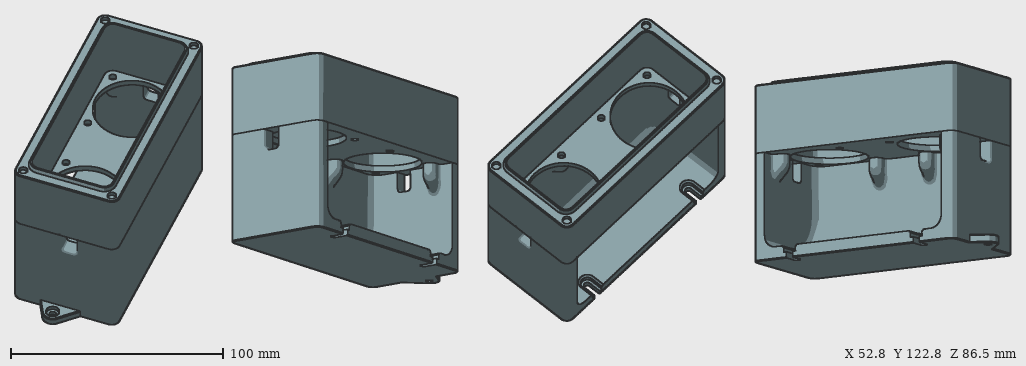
import cadquery as cq
import math

overall_length = 122.8
width = 52.8
length = 112.8
corner_radius = 4.0
edge_chamfer = 0.5
split_height = 52.0
shoulder_height = 84.7

lip_height = 1.8
lip_width = 43.8
lip_length = 103.8
lip_corner_radius = 5.9
lip_slope_inset = 0.9
lip_land = 0.8
lip_inset = lip_slope_inset + lip_land
top_height = shoulder_height + lip_height

upper_floor = 3.0
speaker_hole_diameter = 37.0
speaker_spacing = 59.9
screw_square = 32.0
screw_hole_diameter = 3.4
lid_hole_diameter = 4.2
lid_hole_depth = 2.0
lid_hole_inset = 3.9

wall = 7.0
cavity_floor = 6.0
cavity_end_radius = 6.0
cavity_back_radius = 20.0
cavity_back = width / 2 - wall
cavity_end = length / 2 - wall

boss_radius = 3.4
boss_straight_length = 4.4
boss_bend_radius = 2.8
boss_fillet = 2.0
boss_wall_overlap = 3.1
boss_hole_depth = 6.0

notch_x = 2.0
notch_width = 7.6
notch_depth = 10.0
notch_radius = 2.0

slot_spacing = 70.8
slot_end_x = -20.0
slot_width = 3.4
slot_recess_width = 6.4
slot_recess_floor = 3.0
slot_chamfer = 1.0

ear_x = -4.0
ear_radius = 5.0
ear_y = -(overall_length - length / 2 - ear_radius)
ear_root_left = -12.4
ear_root_right = 8.1
ear_thickness = 4.0
ear_hole_diameter = 3.4
ear_recess_diameter = 6.4
ear_recess_depth = 2.0
ear_overlap = 1.5

pick_slack = 0.1

screw_x = screw_square / 2
inner_screw_y = (speaker_spacing - screw_square) / 2
outer_screw_y = (speaker_spacing + screw_square) / 2


def rounded_block(size_x, size_y, radius, bottom, top):
    """Block with rounded vertical edges, centred on the Z axis."""
    block = cq.Workplane("XY").box(size_x, size_y, top - bottom, centered=(True, True, False))
    return block.edges("|Z").fillet(radius).translate((0, 0, bottom))


def round_holes(points, diameter, bottom, top):
    """Vertical cylinders at the given points, for cutting."""
    plane = cq.Workplane("XY").workplane(offset=bottom)
    return plane.pushPoints(points).circle(diameter / 2).extrude(top - bottom)


def mirrored_points(x, y):
    return [(sx * x, sy * y) for sx in (-1, 1) for sy in (-1, 1)]


def make_lip():
    """Lip ring with a sloping outer side; its mouth is cut with the box cavity."""
    outline = cq.Sketch().rect(lip_width, lip_length).vertices().fillet(lip_corner_radius)
    slope = math.degrees(math.atan2(lip_slope_inset, lip_height))
    plane = cq.Workplane("XY").workplane(offset=shoulder_height)
    return plane.placeSketch(outline).extrude(lip_height, taper=slope)


def make_upper_box():
    body = rounded_block(width, length, corner_radius, split_height, shoulder_height)
    body = body.faces(">Z").edges().chamfer(edge_chamfer)
    body = body.union(make_lip())

    cavity = rounded_block(
        lip_width - 2 * lip_inset,
        lip_length - 2 * lip_inset,
        lip_corner_radius - lip_inset,
        split_height + upper_floor,
        top_height,
    )
    speaker_points = [(0, -speaker_spacing / 2), (0, speaker_spacing / 2)]
    screw_points = mirrored_points(screw_x, inner_screw_y) + mirrored_points(screw_x, outer_screw_y)
    lid_points = mirrored_points(width / 2 - lid_hole_inset, length / 2 - lid_hole_inset)
    lid_hole_floor = shoulder_height - lid_hole_depth
    floor_top = split_height + upper_floor

    body = body.cut(cavity)
    body = body.cut(round_holes(speaker_points, speaker_hole_diameter, split_height, floor_top))
    body = body.cut(round_holes(screw_points, screw_hole_diameter, split_height, floor_top))
    return body.cut(round_holes(lid_points, lid_hole_diameter, lid_hole_floor, shoulder_height))


def tangent_point(root_x, root_y, side):
    """Where the line from a root point touches the ear's round tip; side is -1 left, +1 right."""
    to_root_x = root_x - ear_x
    to_root_y = root_y - ear_y
    distance = math.hypot(to_root_x, to_root_y)
    angle = math.atan2(to_root_y, to_root_x) - side * math.acos(ear_radius / distance)
    return ear_x + ear_radius * math.cos(angle), ear_y + ear_radius * math.sin(angle)


def make_ear():
    root_y = -length / 2
    inside_y = root_y + ear_overlap
    outline = (
        cq.Workplane("XY")
        .moveTo(ear_root_left, inside_y)
        .lineTo(ear_root_left, root_y)
        .lineTo(*tangent_point(ear_root_left, root_y, -1))
        .threePointArc((ear_x, ear_y - ear_radius), tangent_point(ear_root_right, root_y, 1))
        .lineTo(ear_root_right, root_y)
        .lineTo(ear_root_right, inside_y)
        .close()
    )
    return outline.extrude(ear_thickness).faces("<Z or >Z").edges().chamfer(edge_chamfer)


def make_cavity():
    """Cavity with a large round at the back of its floor and smaller rounds along its ends."""
    profile = (
        cq.Workplane("XZ", origin=(0, cavity_end, 0))
        .moveTo(-width / 2, cavity_floor)
        .lineTo(cavity_back - cavity_back_radius, cavity_floor)
        .radiusArc((cavity_back, cavity_floor + cavity_back_radius), -cavity_back_radius)
        .lineTo(cavity_back, split_height)
        .lineTo(-width / 2, split_height)
        .close()
    )
    cavity = profile.extrude(2 * cavity_end)
    rounded = cq.selectors.BoxSelector(
        (-width / 2 + pick_slack, -length, cavity_floor - pick_slack),
        (width / 2, length, split_height - pick_slack),
    )
    return cavity.faces("<Y or >Y").edges(rounded).fillet(cavity_end_radius)


def boss_spine(far):
    """Centre line of a boss in the YZ plane: down, round a 45 degree bend, then on to Y = `far`."""
    bend_top = split_height - boss_straight_length

    def on_bend(angle):
        swing = boss_bend_radius * (1 - math.cos(angle))
        return swing, bend_top - boss_bend_radius * math.sin(angle)

    bend_end = on_bend(math.pi / 4)
    return (
        cq.Workplane("YZ")
        .moveTo(0, split_height)
        .lineTo(0, bend_top)
        .threePointArc(on_bend(math.pi / 8), bend_end)
        .lineTo(far, bend_end[1] - (far - bend_end[0]))
    )


def make_boss(clearance):
    """Boss with its axis on Z, bending toward +Y into a wall that is `clearance` away."""
    far = clearance + boss_wall_overlap
    web = boss_spine(far).lineTo(far, split_height).close().extrude(boss_radius, both=True)
    round_front = (
        cq.Workplane("XY", origin=(0, 0, split_height))
        .moveTo(-boss_radius, 0)
        .threePointArc((0, -boss_radius), (boss_radius, 0))
        .close()
        .sweep(boss_spine(far).wire())
    )
    return web.union(round_front)


def add_boss(body, x, y, turn, clearance):
    """Join a boss to the wall it leans on and blend its outline into that wall."""
    boss = make_boss(clearance).rotate((0, 0, 0), (0, 0, 1), turn).translate((x, y, 0))
    lean_x = -math.sin(math.radians(turn))
    lean_y = math.cos(math.radians(turn))
    foot_x = x + clearance * lean_x
    foot_y = y + clearance * lean_y
    half_x = abs(lean_y) * boss_radius + pick_slack
    half_y = abs(lean_x) * boss_radius + pick_slack
    foot_outline = cq.selectors.BoxSelector(
        (foot_x - half_x, foot_y - half_y, cavity_floor + cavity_back_radius),
        (foot_x + half_x, foot_y + half_y, split_height - pick_slack),
    )
    return body.union(boss).edges(foot_outline).fillet(boss_fillet)


def make_notch():
    """Cable notch cutter, running through both end walls."""
    bottom = split_height - notch_depth
    block = cq.Workplane("XY").box(notch_width, length, notch_depth, centered=(True, True, False))
    return block.edges("|Y and <Z").fillet(notch_radius).translate((notch_x, 0, bottom))


def cut_notches(body):
    body = body.cut(make_notch())
    half_width = notch_width / 2 + pick_slack
    for side in (-1, 1):
        rim = cq.selectors.BoxSelector(
            (notch_x - half_width, side * length / 2 - pick_slack, split_height - notch_depth - pick_slack),
            (notch_x + half_width, side * length / 2 + pick_slack, split_height - pick_slack),
        )
        body = body.edges(rim).fillet(notch_radius)
    return body


def open_slot(slot_y, slot_size, bottom, top, taper=0):
    """Slot cutter with a round inner end, running out through the -X side."""
    run = slot_end_x + width / 2
    plane = cq.Workplane("XY", origin=(slot_end_x - run, slot_y, bottom))
    return plane.slot2D(2 * run + slot_size, slot_size).extrude(top - bottom, taper=taper)


def make_keyhole_slot(slot_y):
    chamfer_bottom = cavity_floor - slot_chamfer
    through = open_slot(slot_y, slot_width, 0, cavity_floor)
    recess = open_slot(slot_y, slot_recess_width, slot_recess_floor, cavity_floor)
    mouth = open_slot(slot_y, slot_recess_width, chamfer_bottom, cavity_floor, taper=-45)
    return through.union(recess).union(mouth)


def make_lower_housing():
    body = rounded_block(width, length, corner_radius, 0, split_height)
    body = body.faces("<Z").edges().chamfer(edge_chamfer)
    body = body.union(make_ear())
    body = body.cut(make_cavity())

    for side in (-1, 1):
        end_turn = 0 if side > 0 else 180
        body = add_boss(body, -screw_x, side * outer_screw_y, end_turn, cavity_end - outer_screw_y)
        body = add_boss(body, screw_x, side * inner_screw_y, -90, cavity_back - screw_x)

    boss_points = []
    for side in (-1, 1):
        boss_points.append((-screw_x, side * outer_screw_y))
        boss_points.append((screw_x, side * inner_screw_y))
    boss_hole_floor = split_height - boss_hole_depth
    body = body.cut(round_holes(boss_points, screw_hole_diameter, boss_hole_floor, split_height))

    body = cut_notches(body)
    for side in (-1, 1):
        body = body.cut(make_keyhole_slot(side * slot_spacing / 2))

    ear_point = [(ear_x, ear_y)]
    recess_floor = ear_thickness - ear_recess_depth
    body = body.cut(round_holes(ear_point, ear_hole_diameter, 0, ear_thickness))
    return body.cut(round_holes(ear_point, ear_recess_diameter, recess_floor, ear_thickness))


lower_housing = make_lower_housing()
upper_box = make_upper_box()

result = cq.Compound.makeCompound([lower_housing.val(), upper_box.val()])